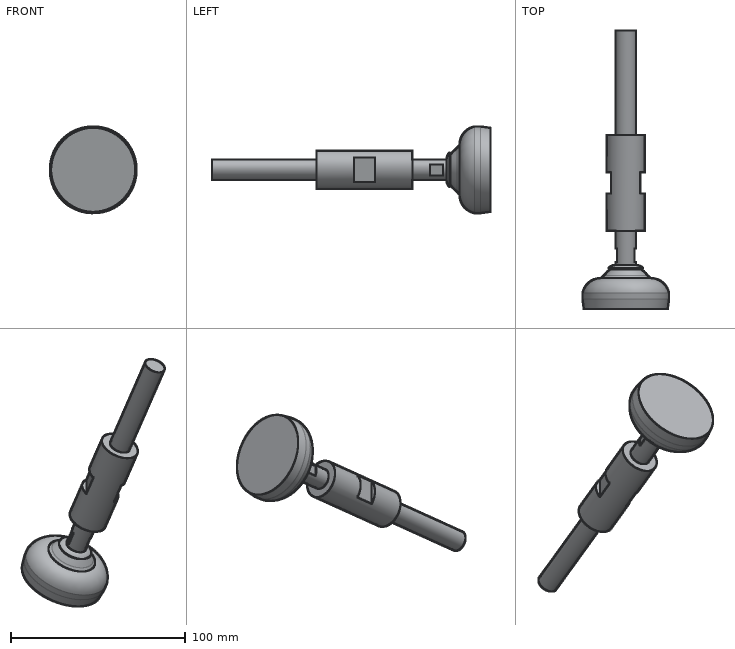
import cadquery as cq


foot_base_radius = 24.2
foot_max_radius = 25.0
foot_band_start = 5.8
foot_band_end = 9.3
shoulder_radius = 14.2
shoulder_height = 18.0
shoulder_mid_radius = 21.6
shoulder_mid_height = 15.0
neck_radius = 12.6
neck_height = 19.4
neck_mid_radius = 10.9
neck_mid_height = 21.3
foot_top_radius = 9.1
foot_top_height = 22.9

rod_radius = 6.0
overall_length = 160.0
collar_radius = 10.0
collar_rim_height = 23.7
collar_mid_radius = 8.3
collar_mid_height = 24.8
collar_top_height = 25.5
rod_flat_start = 27.2
rod_flat_length = 7.5
rod_across_flats = 10.2

sleeve_radius = 11.0
sleeve_start = 45.0
sleeve_length = 55.0
sleeve_flat_length = 12.0
sleeve_across_flats = 17.0


def cylinder(radius, start, length):
    """Cylinder along +Y beginning at Y = start."""
    disc = cq.Workplane("XZ", origin=(0, start, 0)).circle(radius)
    return disc.extrude(-length)


def cut_flats(body, radius, across_flats, start, length):
    """Cut two parallel wrench flats facing -X and +X."""
    depth = radius - across_flats / 2
    for side in (-1, 1):
        cutter = cq.Workplane("XY").box(2 * depth, length, 2 * radius)
        x_center = side * (across_flats / 2 + depth)
        body = body.cut(cutter.translate((x_center, start + length / 2, 0)))
    return body


def make_foot():
    profile = (
        cq.Workplane("XY")
        .lineTo(foot_base_radius, 0)
        .lineTo(foot_max_radius, foot_band_start)
        .lineTo(foot_max_radius, foot_band_end)
        .threePointArc(
            (shoulder_mid_radius, shoulder_mid_height),
            (shoulder_radius, shoulder_height),
        )
        .lineTo(neck_radius, neck_height)
        .threePointArc((neck_mid_radius, neck_mid_height), (foot_top_radius, foot_top_height))
        .lineTo(0, foot_top_height)
        .close()
    )
    return profile.revolve(360, (0, 0, 0), (0, 1, 0))


def make_spindle():
    profile = (
        cq.Workplane("XY")
        .moveTo(0, foot_top_height)
        .lineTo(foot_top_radius, foot_top_height)
        .lineTo(collar_radius, collar_rim_height)
        .threePointArc((collar_mid_radius, collar_mid_height), (rod_radius, collar_top_height))
        .lineTo(rod_radius, overall_length)
        .lineTo(0, overall_length)
        .close()
    )
    spindle = profile.revolve(360, (0, 0, 0), (0, 1, 0))
    return cut_flats(spindle, rod_radius, rod_across_flats, rod_flat_start, rod_flat_length)


def make_sleeve():
    sleeve = cylinder(sleeve_radius, sleeve_start, sleeve_length)
    sleeve = sleeve.cut(cylinder(rod_radius, sleeve_start, sleeve_length))
    flat_start = sleeve_start + (sleeve_length - sleeve_flat_length) / 2
    return cut_flats(sleeve, sleeve_radius, sleeve_across_flats, flat_start, sleeve_flat_length)


foot = make_foot()
spindle = make_spindle()
sleeve = make_sleeve()

result = cq.Compound.makeCompound([foot.val(), spindle.val(), sleeve.val()])